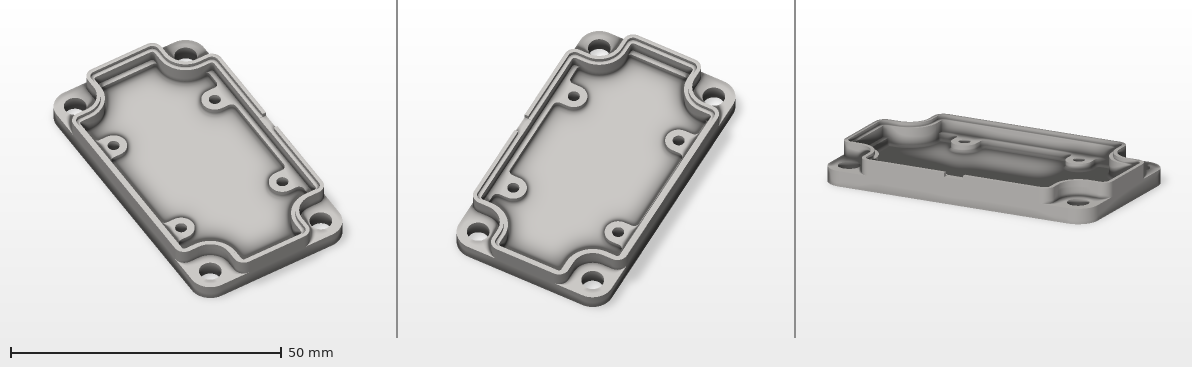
import cadquery as cq

length = 56.0
width = 32.0
height = 6.0
flange_height = height / 2

ear_hole_spacing = 48.0
ear_radius = (length - ear_hole_spacing) / 2
ear_hole_diameter = 4.2
ear_hole_x = ear_hole_spacing / 2
ear_hole_y = width / 2 - ear_radius
outer_fillet = ear_radius / 2

wall = 1.5
lip = wall / 2
rebate_depth = lip
cable_notch_width = 4.0
cable_notch_depth = 0.85

ledge_width = 1.0
floor_thickness = 1.5
ledge_top = flange_height
floor_fillet = 0.5
ledge_end_fillet = floor_fillet

boss_radius = 2.5
boss_hole_diameter = 2.25
boss_x = 12.0
boss_y = 11.0
boss_root_fillet = 1.0

tolerance = 0.005


def corner_reliefs(offset, bottom, top):
    """Four rounded corner blocks around the ear holes, grown by offset."""
    reach = ear_radius + offset
    blocks = (
        cq.Workplane("XY", origin=(0, 0, bottom))
        .rect(2 * ear_hole_x, 2 * ear_hole_y, forConstruction=True)
        .vertices()
        .rect(2 * reach, 2 * reach)
        .extrude(top - bottom)
    )
    inner_edges = cq.selectors.BoxSelector(
        (-ear_hole_x, -ear_hole_y, bottom), (ear_hole_x, ear_hole_y, top)
    )
    return blocks.edges("|Z").edges(inner_edges).fillet(reach)


def box(size_x, size_y, bottom, top):
    """Centred rectangular block between two heights."""
    return cq.Workplane("XY", origin=(0, 0, bottom)).rect(size_x, size_y).extrude(top - bottom)


def upright_edges(body, keep):
    """Vertical edges whose distances from the two centre planes satisfy keep."""
    return body.edges("|Z").filter(lambda edge: keep(abs(edge.Center().x), abs(edge.Center().y)))


def cross_prism(offset, bottom, top):
    """Cross-shaped prism that follows the wall, shrunk inwards by offset."""
    end = length / 2 - offset
    side = width / 2 - offset
    prism = box(2 * end, 2 * side, bottom, top).cut(corner_reliefs(offset, bottom, top))
    outer_edges = upright_edges(prism, lambda x, y: x > end - tolerance or y > side - tolerance)
    return outer_edges.fillet(outer_fillet - offset)


def four_cylinders(half_x, half_y, diameter):
    """Four vertical cylinders placed symmetrically about the centre."""
    return (
        cq.Workplane("XY")
        .rect(2 * half_x, 2 * half_y, forConstruction=True)
        .vertices()
        .circle(diameter / 2)
        .extrude(height)
    )


def floor_pocket():
    """Recess inside the ledge, shaped round the bosses and rounded at its floor."""
    end = length / 2 - wall - ledge_width
    side = width / 2 - wall - ledge_width
    pocket = box(2 * end, 2 * side, floor_thickness, ledge_top)
    boss_ends = four_cylinders(boss_x, boss_y, 2 * boss_radius)
    boss_webs = (
        cq.Workplane("XY")
        .rect(2 * boss_x, 2 * side, forConstruction=True)
        .vertices()
        .rect(2 * boss_radius, 2 * (side - boss_y))
        .extrude(height)
    )
    pocket = pocket.cut(boss_ends).cut(boss_webs)
    boss_roots = upright_edges(pocket, lambda x, y: x < end - tolerance and y > side - tolerance)
    pocket = boss_roots.fillet(boss_root_fillet)

    pocket = pocket.cut(corner_reliefs(wall, floor_thickness, ledge_top))
    relief_x = ear_hole_x - ear_radius - wall
    ledge_ends = upright_edges(
        pocket,
        lambda x, y: x > end - tolerance or (abs(x - relief_x) < tolerance and y > side - tolerance),
    )
    pocket = ledge_ends.fillet(ledge_end_fillet)
    return pocket.faces("<Z").edges().fillet(floor_fillet)


base = box(length, width, 0, flange_height).edges("|Z").fillet(ear_radius)
result = base.union(cross_prism(0, flange_height, height))

result = result.cut(cross_prism(wall, ledge_top, height))
result = result.cut(cross_prism(lip, height - rebate_depth, height))
result = result.cut(floor_pocket())

result = result.cut(four_cylinders(ear_hole_x, ear_hole_y, ear_hole_diameter))
result = result.cut(four_cylinders(boss_x, boss_y, boss_hole_diameter))

cable_notch = box(cable_notch_width, wall, height - cable_notch_depth, height)
result = result.cut(cable_notch.translate((0, (width - wall) / 2, 0)))